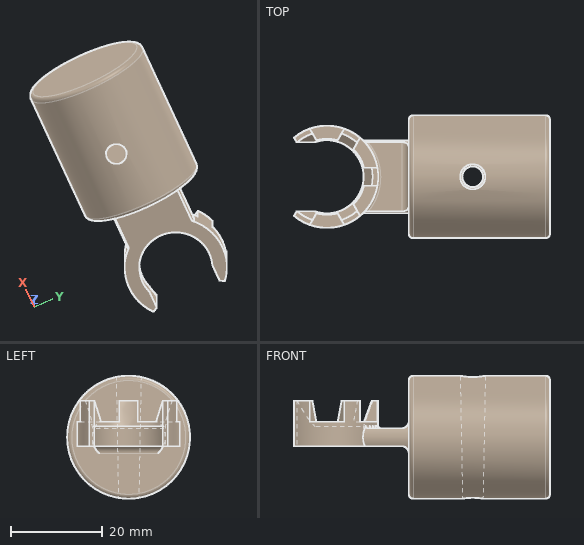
import cadquery as cq
import math

overall_length = 56.2
body_diameter = 27.0
body_length = 31.0
body_edge_radius = 1.0

hole_bottom_diameter = 4.5
hole_top_diameter = 5.5
hole_from_body_face = 14.05

ring_outer_radius = 11.25
ring_inner_radius = 16.0 / 2
ring_height = 10.0
mouth_half_width = 7.55

finger_width = 4.0
finger_height = 4.6
finger_spacing = 60.0
finger_angles = [step * finger_spacing for step in (-2, -1, 0, 1, 2)]
cone_depth = 5.55
cone_top_radius = 10.0

arm_thickness = 4.0
arm_half_width = ring_inner_radius
arm_side_radius = 4.8
body_flare_radius = 1.5
ring_weld_radius = 0.5

end_angle = finger_angles[-1] + math.degrees(math.asin(finger_width / 2 / ring_outer_radius))
ring_left = ring_outer_radius * math.cos(math.radians(end_angle))
body_right = ring_left + overall_length
body_left = body_right - body_length
ring_bottom = -arm_thickness / 2
ring_top = ring_bottom + ring_height
notch_floor = ring_top - finger_height


def finger_bars():
    """Straight-sided radial bars that outline the fingers over the full ring height."""
    bars = cq.Workplane("XY")
    for angle in finger_angles:
        bar = (
            cq.Workplane("XY", origin=(0, 0, ring_bottom))
            .rect(2 * ring_outer_radius, finger_width)
            .extrude(ring_height)
            .translate((ring_outer_radius, 0, 0))
            .rotate((0, 0, 0), (0, 0, 1), angle)
        )
        bars = bars.union(bar)
    return bars


def make_ring():
    disc = cq.Workplane("XY", origin=(0, 0, ring_bottom)).circle(ring_outer_radius).extrude(ring_height)

    last = math.radians(finger_angles[-1])
    reach = 2 * ring_outer_radius
    end_x = reach * math.cos(last)
    end_y = reach * math.sin(last)
    wall_sector = (
        cq.Workplane("XY", origin=(0, 0, ring_bottom))
        .polyline([(0, 0), (end_x, -end_y), (reach, -end_y), (reach, end_y), (end_x, end_y)])
        .close()
        .extrude(notch_floor - ring_bottom)
    )
    return disc.intersect(wall_sector.union(finger_bars()))


def ring_bore():
    """Bore with a flared upper part, opening into a parallel mouth toward -X."""
    bore = (
        cq.Workplane("XZ")
        .moveTo(0, ring_bottom)
        .lineTo(ring_inner_radius, ring_bottom)
        .lineTo(ring_inner_radius, ring_top - cone_depth)
        .lineTo(cone_top_radius, ring_top)
        .lineTo(0, ring_top)
        .close()
        .revolve(360, (0, 0, 0), (0, 1, 0))
    )
    mouth = (
        cq.Workplane("XY", origin=(-ring_outer_radius / 2, 0, ring_bottom))
        .rect(ring_outer_radius, 2 * mouth_half_width)
        .extrude(ring_height)
    )
    return bore.union(mouth)


def arm_envelope():
    """Bar along X whose two sides bulge outward as arcs."""
    half_height = arm_thickness / 2 + body_flare_radius
    edge = arm_half_width - arm_side_radius + math.sqrt(arm_side_radius**2 - half_height**2)
    return (
        cq.Workplane("YZ")
        .moveTo(-edge, -half_height)
        .lineTo(edge, -half_height)
        .threePointArc((arm_half_width, 0), (edge, half_height))
        .lineTo(-edge, half_height)
        .threePointArc((-arm_half_width, 0), (-edge, -half_height))
        .close()
        .extrude(body_left)
    )


def make_arm():
    half = arm_thickness / 2
    flare_start = body_left - body_flare_radius
    flare_end = half + body_flare_radius
    bend = body_flare_radius * math.sqrt(0.5)
    flare_mid = (flare_start + bend, flare_end - bend)
    slab = (
        cq.Workplane("XZ")
        .moveTo(0, -half)
        .lineTo(flare_start, -half)
        .threePointArc((flare_mid[0], -flare_mid[1]), (body_left, -flare_end))
        .lineTo(body_left, flare_end)
        .threePointArc(flare_mid, (flare_start, half))
        .lineTo(0, half)
        .close()
        .extrude(arm_half_width, both=True)
    )

    weld_outer = ring_outer_radius + ring_weld_radius
    weld_top = half + ring_weld_radius
    bend = ring_weld_radius * math.sqrt(0.5)
    weld = (
        cq.Workplane("XZ")
        .moveTo(ring_inner_radius, half)
        .lineTo(weld_outer, half)
        .threePointArc((weld_outer - bend, weld_top - bend), (ring_outer_radius, weld_top))
        .lineTo(ring_inner_radius, weld_top)
        .close()
        .revolve(360, (0, 0, 0), (0, 1, 0))
    )
    return slab.union(weld).intersect(arm_envelope())


def make_body():
    body = (
        cq.Workplane("YZ", origin=(body_left, 0, 0))
        .circle(body_diameter / 2)
        .extrude(body_length)
        .edges("%CIRCLE")
        .fillet(body_edge_radius)
    )
    hole_x = body_left + hole_from_body_face
    hole = cq.Solid.makeCone(
        hole_bottom_diameter / 2,
        hole_top_diameter / 2,
        body_diameter,
        pnt=cq.Vector(hole_x, 0, -body_diameter / 2),
        dir=cq.Vector(0, 0, 1),
    )
    return body.cut(cq.Workplane(hole))


clip = make_ring().union(make_arm()).cut(ring_bore())
result = clip.union(make_body())